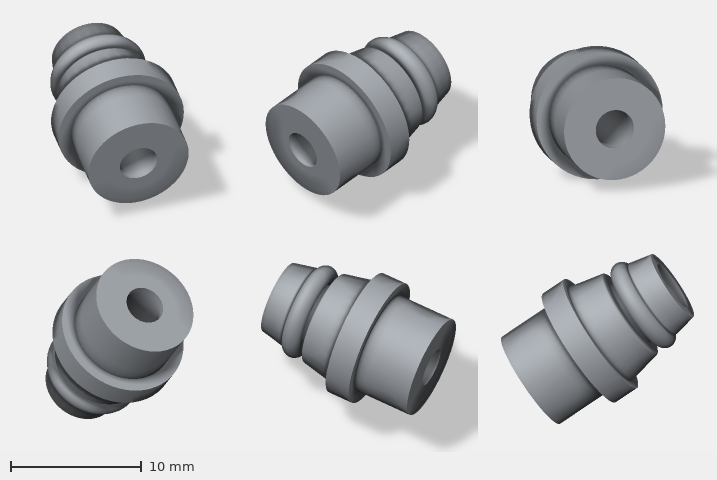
import cadquery as cq
import math

total_length = 13.2
flange_start = 6.7
flange_thickness = 2.0
groove_start = 2.0
groove_width = 1.9
flange_end = flange_start + flange_thickness
groove_end = groove_start + groove_width

flange_radius = 5.0
shank_radius = 4.0
cone_base_radius = 4.3
bore_radius = 1.5

cone_half_angle = 12.0
groove_depth = 1.12
groove_edge_round = 0.2
bore_chamfer = 0.5

ring_section_radius = 0.75
ring_outer_radius = 3.8
ring_center_x = 2.72
ring_center_radius = ring_outer_radius - ring_section_radius

full_turn = 360


def cone_radius(x):
    """Radius of the tapered nose at axial station x."""
    return cone_base_radius - (flange_start - x) * math.tan(math.radians(cone_half_angle))


def revolve_about_x(profile):
    return profile.revolve(full_turn, (0, 0, 0), (1, 0, 0))


def make_body():
    """Tapered nose, flange and shank as one solid of revolution."""
    profile = (
        cq.Workplane("XY")
        .lineTo(0, cone_radius(0))
        .lineTo(flange_start, cone_base_radius)
        .lineTo(flange_start, flange_radius)
        .lineTo(flange_end, flange_radius)
        .lineTo(flange_end, shank_radius)
        .lineTo(total_length, shank_radius)
        .lineTo(total_length, 0)
        .close()
    )
    return revolve_about_x(profile)


def cut_groove(body):
    """Ring groove with a floor parallel to the cone and rounded corners and lips."""
    cutter_profile = (
        cq.Workplane("XY")
        .moveTo(groove_start, cone_radius(groove_start) - groove_depth)
        .lineTo(groove_end, cone_radius(groove_end) - groove_depth)
        .lineTo(groove_end, flange_radius)
        .lineTo(groove_start, flange_radius)
        .close()
    )
    grooved = body.cut(revolve_about_x(cutter_profile))
    groove_zone = cq.selectors.BoxSelector(
        (groove_start - groove_edge_round, -flange_radius, -flange_radius),
        (groove_end + groove_edge_round, flange_radius, flange_radius),
        boundingbox=True,
    )
    return grooved.edges(groove_zone).edges("%CIRCLE").fillet(groove_edge_round)


def make_ring():
    profile = cq.Workplane("XY").center(ring_center_x, ring_center_radius).circle(ring_section_radius)
    return profile.revolve(full_turn, (0, -ring_center_radius, 0), (1, -ring_center_radius, 0))


def make_bore():
    """Through bore with a 45 degree chamfer at the tip."""
    profile = (
        cq.Workplane("XY")
        .lineTo(0, bore_radius + bore_chamfer)
        .lineTo(bore_chamfer, bore_radius)
        .lineTo(total_length, bore_radius)
        .lineTo(total_length, 0)
        .close()
    )
    return revolve_about_x(profile)


result = cut_groove(make_body()).union(make_ring()).cut(make_bore())